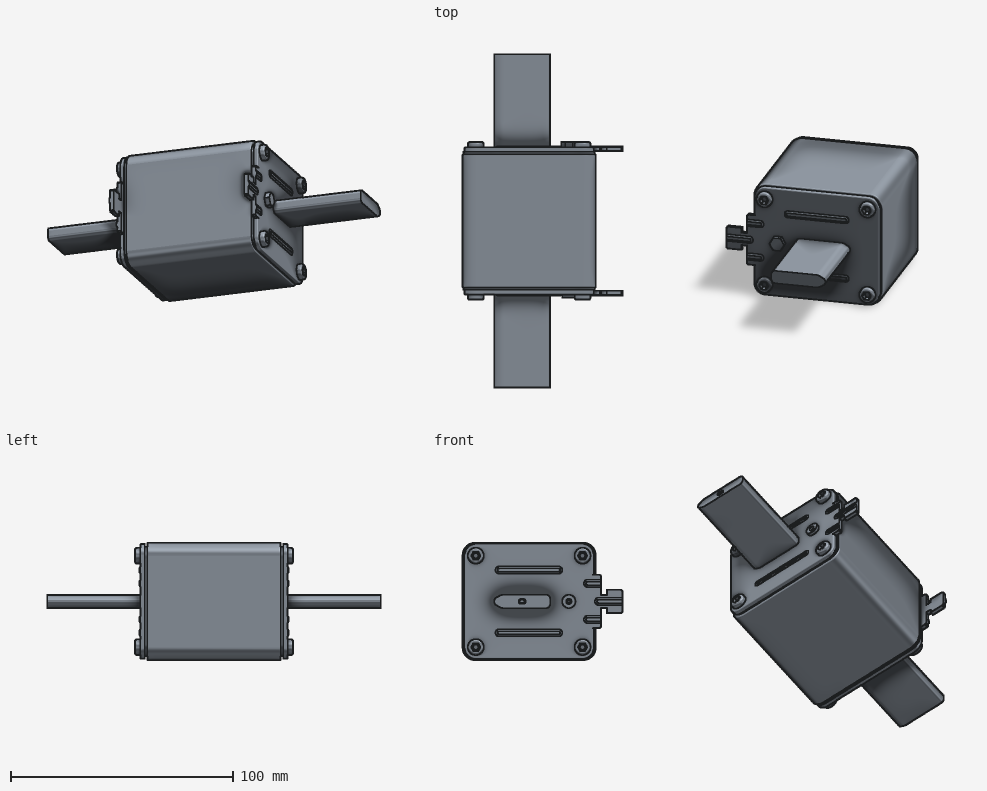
import cadquery as cq
import math

TOTAL_LENGTH = 150.0
BODY_WIDTH = 60.0
BODY_HEIGHT = 53.0
BODY_LENGTH = 60.0
CORNER_RADIUS = 6.0
BODY_EDGE_FILLET = 0.6

GASKET_INSET_X = 0.5
GASKET_INSET_Z = 1.8
GASKET_THICKNESS = 1.0
PLATE_INSET_X = 0.9
PLATE_INSET_Z = 0.6
PLATE_THICKNESS = 2.1
PLATE_EDGE_FILLET = 0.6
GASKET_OUTER_Y = BODY_LENGTH / 2 + GASKET_THICKNESS
PLATE_OUTER_Y = GASKET_OUTER_Y + PLATE_THICKNESS

LUG_THICKNESS = 1.8
LUG_ROOT_X = 27.9
LUG_SHOULDER_X = 32.4
LUG_NECK_END_X = 35.0
LUG_TIP_X = 42.0
LUG_BASE_HEIGHT = 24.0
LUG_NECK_HEIGHT = 6.0
LUG_HEAD_HEIGHT = 10.5
LUG_CORNER_CHAMFER = 0.6

RIB_WIDTH = 3.3
RIB_HEIGHT = 0.5
RIB_FLANK_ANGLE = 64
LONG_RIB_START_X = -15.2
LONG_RIB_END_X = 14.8
LONG_RIB_Z = 14.1
SHORT_RIB_START_X = 24.6
SHORT_RIB_Z = 8.1
CENTRE_RIB_START_X = 29.5

HEXAGON_SIDES = 6
SCREW_X = 24.0
SCREW_Z = 20.5
SCREW_RADIUS = 3.6
SCREW_HEIGHT = 2.4
SCREW_FILLET = 1.0
SOCKET_RADIUS = 2.1
SOCKET_DEPTH = 1.8
SOCKET_TAPER = 20

INDICATOR_X = 17.8
RIVET_RADIUS = 3.0
RIVET_HEIGHT = 1.5
RIVET_HOLE_RADIUS = 1.2
RIVET_HOLE_DEPTH = 0.9
RIVET_HOLE_TAPER = 30
NUT_CORNER_RADIUS = 3.5
NUT_HEIGHT = 2.4

BLADE_LEFT_X = -15.8
BLADE_RIGHT_X = 9.5
BLADE_THICKNESS = 6.0
BLADE_CORNER_RADIUS = 1.8
WEDGE_HALF_ANGLE = 30
NOSE_RADIUS = 2.0
SHOULDER_RADIUS = 3.8
POCKET_WIDTH = 3.2
POCKET_HEIGHT = 2.2
POCKET_DEPTH = 0.8
POCKET_TAPER = 30


def facing_front(y):
    """Sketch plane at the given Y: local x is +X, local y is +Z and extrusion runs toward -Y."""
    return cq.Workplane("XZ", origin=(0, y, 0))


def rounded_block(inset_x, inset_z, y_back, length):
    """Block with the body outline shrunk by the insets, running from y_back toward -Y."""
    return (
        facing_front(y_back)
        .rect(BODY_WIDTH - 2 * inset_x, BODY_HEIGHT - 2 * inset_z)
        .extrude(length)
        .edges("|Y")
        .fillet(CORNER_RADIUS - inset_x)
    )


def make_body():
    body = rounded_block(0, 0, BODY_LENGTH / 2, BODY_LENGTH)
    return body.faces("<Y or >Y").edges().fillet(BODY_EDGE_FILLET)


def make_lug():
    """Flat T-shaped lug that continues the outer face of the plate past the body."""
    base_z = LUG_BASE_HEIGHT / 2
    neck_z = LUG_NECK_HEIGHT / 2
    head_z = LUG_HEAD_HEIGHT / 2
    upper_half = [
        (LUG_ROOT_X, base_z),
        (LUG_SHOULDER_X - LUG_CORNER_CHAMFER, base_z),
        (LUG_SHOULDER_X, base_z - LUG_CORNER_CHAMFER),
        (LUG_SHOULDER_X, neck_z),
        (LUG_NECK_END_X, neck_z),
        (LUG_NECK_END_X, head_z),
        (LUG_TIP_X - LUG_CORNER_CHAMFER, head_z),
        (LUG_TIP_X, head_z - LUG_CORNER_CHAMFER),
    ]
    lower_half = [(x, -z) for x, z in reversed(upper_half)]
    outline = upper_half + lower_half
    return facing_front(-PLATE_OUTER_Y + LUG_THICKNESS).polyline(outline).close().extrude(LUG_THICKNESS)


def make_rib(start_x, end_x, z, open_end=False):
    """Rib with sloping flanks and round ends; an open end is cut off square at end_x."""
    overrun = RIB_WIDTH if open_end else 0
    length = end_x + overrun - start_x
    rib = (
        facing_front(-PLATE_OUTER_Y)
        .center(start_x + length / 2, z)
        .slot2D(length, RIB_WIDTH)
        .extrude(RIB_HEIGHT, taper=RIB_FLANK_ANGLE)
    )
    if open_end:
        trim = cq.Workplane().box(2 * overrun, TOTAL_LENGTH, BODY_HEIGHT, centered=(False, True, True))
        rib = rib.cut(trim.translate((end_x, 0, 0)))
    return rib


def make_screw(x, z):
    """Round screw head with a tapered hexagon socket."""
    head = facing_front(-PLATE_OUTER_Y).center(x, z).circle(SCREW_RADIUS).extrude(SCREW_HEIGHT)
    socket = (
        facing_front(-PLATE_OUTER_Y - SCREW_HEIGHT)
        .center(x, z)
        .polygon(HEXAGON_SIDES, 2 * SOCKET_RADIUS)
        .extrude(-SOCKET_DEPTH, taper=SOCKET_TAPER)
    )
    return head.faces("<Y").edges().fillet(SCREW_FILLET).cut(socket)


def make_end_cap():
    """Everything both ends share, built at the -Y end: gasket, plate, lug, ribs and screws."""
    gasket = rounded_block(GASKET_INSET_X, GASKET_INSET_Z, -BODY_LENGTH / 2, GASKET_THICKNESS)
    plate = rounded_block(PLATE_INSET_X, PLATE_INSET_Z, -GASKET_OUTER_Y, PLATE_THICKNESS)
    plate = plate.faces("<Y").edges().fillet(PLATE_EDGE_FILLET)
    cap = gasket.union(plate).union(make_lug())
    for side in (1, -1):
        cap = cap.union(make_rib(LONG_RIB_START_X, LONG_RIB_END_X, side * LONG_RIB_Z))
        cap = cap.union(make_rib(SHORT_RIB_START_X, LUG_SHOULDER_X, side * SHORT_RIB_Z, open_end=True))
        for x in (-SCREW_X, SCREW_X):
            cap = cap.union(make_screw(x, side * SCREW_Z))
    return cap.union(make_rib(CENTRE_RIB_START_X, LUG_TIP_X, 0, open_end=True))


def make_rivet():
    rivet = facing_front(-PLATE_OUTER_Y).center(INDICATOR_X, 0).circle(RIVET_RADIUS).extrude(RIVET_HEIGHT)
    hole = (
        facing_front(-PLATE_OUTER_Y - RIVET_HEIGHT)
        .center(INDICATOR_X, 0)
        .circle(RIVET_HOLE_RADIUS)
        .extrude(-RIVET_HOLE_DEPTH, taper=RIVET_HOLE_TAPER)
    )
    return rivet.cut(hole)


def make_nut():
    return (
        facing_front(PLATE_OUTER_Y)
        .center(INDICATOR_X, 0)
        .polygon(HEXAGON_SIDES, 2 * NUT_CORNER_RADIUS)
        .extrude(-NUT_HEIGHT)
    )


def make_blade():
    """Flat bar: a wedge with rounded nose and shoulders on the -X edge, round corners on +X."""
    half = BLADE_THICKNESS / 2
    angle = math.radians(WEDGE_HALF_ANGLE)
    tip_overshoot = NOSE_RADIUS * (1 / math.sin(angle) - 1)
    sharp_tip_x = BLADE_LEFT_X - tip_overshoot
    shoulder_x = sharp_tip_x + half / math.tan(angle)
    blade = (
        facing_front(TOTAL_LENGTH / 2)
        .moveTo(sharp_tip_x, 0)
        .lineTo(shoulder_x, half)
        .lineTo(BLADE_RIGHT_X, half)
        .lineTo(BLADE_RIGHT_X, -half)
        .lineTo(shoulder_x, -half)
        .close()
        .extrude(TOTAL_LENGTH)
    )
    blade = blade.edges("|Y").edges(">X").fillet(BLADE_CORNER_RADIUS)
    blade = blade.edges("|Y").edges(">>X[1]").fillet(SHOULDER_RADIUS)
    return blade.edges("|Y").edges("<X").fillet(NOSE_RADIUS)


def make_blade_pocket():
    """Shallow pocket in the middle of the -Y end of the blade."""
    return (
        facing_front(-TOTAL_LENGTH / 2)
        .center((BLADE_LEFT_X + BLADE_RIGHT_X) / 2, 0)
        .slot2D(POCKET_WIDTH, POCKET_HEIGHT)
        .extrude(-POCKET_DEPTH, taper=POCKET_TAPER)
    )


front_cap = make_end_cap()
back_cap = front_cap.mirror("XZ")

result = (
    make_body()
    .union(front_cap)
    .union(back_cap)
    .union(make_rivet())
    .union(make_nut())
    .union(make_blade())
    .cut(make_blade_pocket())
)